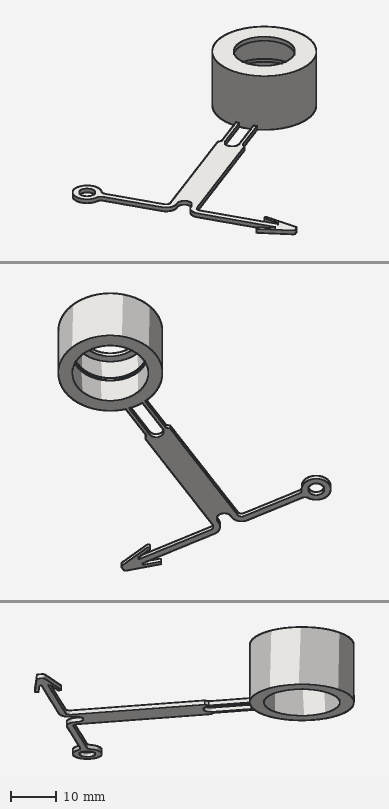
import cadquery as cq
import math


ring_height = 13.5
ring_diameter = 23.0
lip_diameter = 13.5
lip_height = 1.0
bore_diameter = 16.75
bead_diameter = 16.4
bead_bottom = 6.4
bead_height = 0.75

thickness = 1.0
slot_width = 3.3
slot_radius = slot_width / 2
prong_width = 0.8
prong_half_span = slot_radius + prong_width
prong_bottom = -20.45
arm_width = 1.5
strap_half_width = slot_radius + arm_width
shoulder = strap_half_width - prong_half_span

arm_y = -53.05
arm_top = arm_y + arm_width / 2
arm_bottom = arm_y - arm_width / 2
inner_bend = 1.0
outer_bend = inner_bend + arm_width
notch_center_y = -50.9

eyelet_x = -22.0
eyelet_diameter = 6.45
eyelet_hole = 3.5
eyelet_fillet = 1.0

tip_x = 26.95
tip_half_width = 0.8
tip_round = 0.55
barb_angle = math.radians(15)
barb_thickness = 0.8
barb_length = 8.5
barb_end_round = 0.2
crotch_x = 22.4
crotch_round = 0.15


def make_ring():
    ring = cq.Workplane("XY").circle(ring_diameter / 2).extrude(ring_height)
    sections = [
        (bore_diameter, bead_bottom),
        (bead_diameter, bead_bottom + bead_height),
        (bore_diameter, ring_height - lip_height),
        (lip_diameter, ring_height),
    ]
    bottom = 0
    for diameter, top in sections:
        cutter = cq.Workplane("XY").workplane(offset=bottom).circle(diameter / 2).extrude(top - bottom)
        ring = ring.cut(cutter)
        bottom = top
    return ring


def make_strap():
    prong_top = -(bore_diameter + ring_diameter) / 4
    shoulder_y = prong_bottom - shoulder
    strap = (
        cq.Workplane("XY")
        .moveTo(-prong_half_span, prong_top)
        .lineTo(-prong_half_span, prong_bottom)
        .lineTo(-strap_half_width, shoulder_y)
        .lineTo(-strap_half_width, arm_top)
        .lineTo(eyelet_x, arm_top)
        .lineTo(eyelet_x, arm_bottom)
        .lineTo(-slot_radius, arm_bottom)
        .lineTo(-slot_radius, notch_center_y)
        .threePointArc((0, notch_center_y + slot_radius), (slot_radius, notch_center_y))
        .lineTo(slot_radius, arm_bottom)
        .lineTo(crotch_x, arm_bottom)
        .lineTo(crotch_x, arm_top)
        .lineTo(strap_half_width, arm_top)
        .lineTo(strap_half_width, shoulder_y)
        .lineTo(prong_half_span, prong_bottom)
        .lineTo(prong_half_span, prong_top)
        .lineTo(slot_radius, prong_top)
        .lineTo(slot_radius, prong_bottom)
        .threePointArc((0, prong_bottom - slot_radius), (-slot_radius, prong_bottom))
        .lineTo(-slot_radius, prong_top)
        .close()
        .extrude(thickness)
    )
    for side in (-1, 1):
        strap = round_corner(strap, side * strap_half_width, arm_top, inner_bend)
        strap = round_corner(strap, side * slot_radius, arm_bottom, outer_bend)
    return strap


def round_corner(body, x, y, radius):
    """Fillet the vertical edge that stands at (x, y)."""
    corner = cq.selectors.NearestToPointSelector((x, y, thickness / 2))
    return body.edges("|Z").edges(corner).fillet(radius)


def add_eyelet(body):
    radius = eyelet_diameter / 2
    disc = cq.Workplane("XY").center(eyelet_x, arm_y).circle(radius).extrude(thickness)
    body = body.union(disc)
    joint_x = eyelet_x + math.sqrt(radius**2 - (arm_width / 2) ** 2)
    for joint_y in (arm_bottom, arm_top):
        body = round_corner(body, joint_x, joint_y, eyelet_fillet)
    hole = cq.Workplane("XY").center(eyelet_x, arm_y).circle(eyelet_hole / 2).extrude(thickness)
    return body.cut(hole)


def add_arrowhead(body):
    outer_end_x = tip_x - barb_length * math.cos(barb_angle)
    outer_end_y = tip_half_width + barb_length * math.sin(barb_angle)
    inner_end_x = outer_end_x - barb_thickness * math.sin(barb_angle)
    inner_end_y = outer_end_y - barb_thickness * math.cos(barb_angle)
    crotch_y = inner_end_y - (crotch_x - inner_end_x) * math.tan(barb_angle)
    upper = [
        (tip_x, tip_half_width),
        (outer_end_x, outer_end_y),
        (inner_end_x, inner_end_y),
        (crotch_x, crotch_y),
    ]
    lower = [(x, -y) for x, y in reversed(upper)]
    head = cq.Workplane("XY").center(0, arm_y).polyline(upper + lower).close().extrude(thickness)
    body = body.union(head)
    for side in (-1, 1):
        body = round_corner(body, tip_x, arm_y + side * tip_half_width, tip_round)
        body = round_corner(body, outer_end_x, arm_y + side * outer_end_y, barb_end_round)
        body = round_corner(body, inner_end_x, arm_y + side * inner_end_y, barb_end_round)
        body = round_corner(body, crotch_x, arm_y + side * crotch_y, crotch_round)
    return body


strap = add_arrowhead(add_eyelet(make_strap()))
result = make_ring().union(strap)